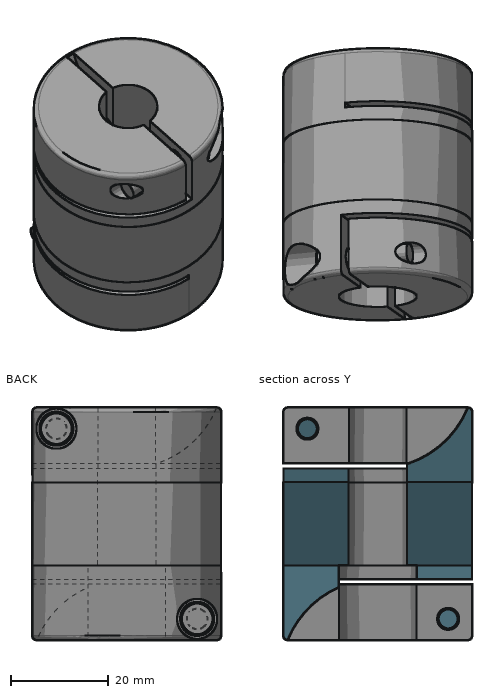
import cadquery as cq

LENGTH = 48.0
OUTER_RADIUS = 19.5
HUB_LENGTH = 15.45
SLEEVE_LENGTH = LENGTH - 2 * HUB_LENGTH
EDGE_FILLET = 1.0
LOWER_BORE_DIAMETER = 16.05
UPPER_BORE_DIAMETER = 12.0
SLEEVE_BORE_DIAMETER = UPPER_BORE_DIAMETER

CROSS_SLIT_BOTTOM = 11.55
CROSS_SLIT_WIDTH = 1.0
SLOT_DEPTH = CROSS_SLIT_BOTTOM + CROSS_SLIT_WIDTH
SLOT_WIDTH = 1.7
SAW_RADIUS = 20.0

SCREW_X = -14.5
SCREW_Z = 4.4
SCREW_DIAMETER = 4.05
SCREW_HOLE_DIAMETER = 4.4
SCREW_TIP_Y = -12.4
HEAD_DIAMETER = 7.0
HEAD_HEIGHT = 4.0
HEAD_TOP_Y = 7.0
HEAD_CHAMFER = 0.35
HEAD_SEAT_Y = HEAD_TOP_Y - HEAD_HEIGHT
COUNTERBORE_DIAMETER = 8.25

CUT_REACH = 1.5 * OUTER_RADIUS


def y_cylinder(diameter, y_start, y_end):
    """Cylinder on the clamp screw axis between two Y positions."""
    return (
        cq.Workplane("XZ", origin=(SCREW_X, y_start, SCREW_Z))
        .circle(diameter / 2)
        .extrude(y_start - y_end)
    )


def make_axial_slot():
    """Slot open through the -X side, running out along the saw's arc on +X."""
    open_side = cq.Workplane("XY").box(
        CUT_REACH, SLOT_WIDTH, SLOT_DEPTH, centered=(False, True, False)
    ).translate((-CUT_REACH, 0, 0))
    saw_cut = (
        cq.Workplane("XZ", origin=(0, 0, SLOT_DEPTH - SAW_RADIUS))
        .circle(SAW_RADIUS)
        .extrude(SLOT_WIDTH / 2, both=True)
    )
    return open_side.union(saw_cut)


def make_cross_slit():
    """Slit across the axis that frees the -Y half of the clamp."""
    return cq.Workplane("XY").box(
        2 * CUT_REACH, CUT_REACH, CROSS_SLIT_WIDTH, centered=(True, False, False)
    ).translate((0, -CUT_REACH, CROSS_SLIT_BOTTOM))


def make_hub(bore_diameter):
    """Clamp hub with its outer end face at Z = 0."""
    hub = (
        cq.Workplane("XY")
        .circle(OUTER_RADIUS)
        .extrude(HUB_LENGTH)
        .faces("<Z")
        .edges()
        .fillet(EDGE_FILLET)
    )
    bore = cq.Workplane("XY").circle(bore_diameter / 2).extrude(HUB_LENGTH)
    screw_hole = y_cylinder(SCREW_HOLE_DIAMETER, HEAD_SEAT_Y, -CUT_REACH)
    counterbore = y_cylinder(COUNTERBORE_DIAMETER, CUT_REACH, HEAD_SEAT_Y)
    hub = hub.cut(bore).cut(screw_hole).cut(counterbore)
    return hub.cut(make_axial_slot()).cut(make_cross_slit())


def make_screw():
    """Clamp screw, head towards +Y."""
    head = y_cylinder(HEAD_DIAMETER, HEAD_TOP_Y, HEAD_SEAT_Y).faces(">Y").chamfer(HEAD_CHAMFER)
    shank = y_cylinder(SCREW_DIAMETER, HEAD_SEAT_Y, SCREW_TIP_Y)
    return head.union(shank)


def make_sleeve():
    """Plain ring between the two hubs."""
    return (
        cq.Workplane("XY", origin=(0, 0, HUB_LENGTH))
        .circle(OUTER_RADIUS)
        .circle(SLEEVE_BORE_DIAMETER / 2)
        .extrude(SLEEVE_LENGTH)
    )


def turn_to_upper_end(body):
    """Half turn about a Y line at mid length, swapping the two ends."""
    return body.rotate((0, 0, LENGTH / 2), (0, 1, LENGTH / 2), 180)


lower_hub = make_hub(LOWER_BORE_DIAMETER)
upper_hub = turn_to_upper_end(make_hub(UPPER_BORE_DIAMETER))
sleeve = make_sleeve()

screws = []
for at_upper_end in (False, True):
    screw = make_screw()
    if at_upper_end:
        screw = turn_to_upper_end(screw)
    screws.append(screw.val())

result = cq.Compound.makeCompound([lower_hub.val(), upper_hub.val(), sleeve.val(), *screws])